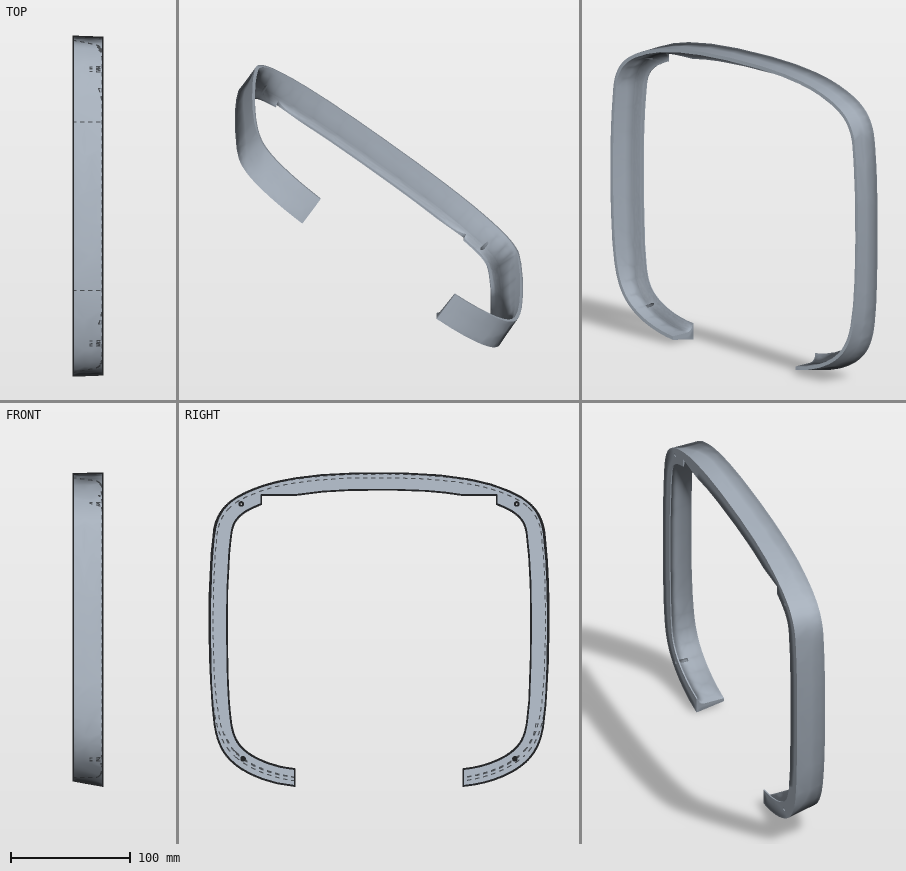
import cadquery as cq
import math

depth = 25.0
rim_thickness = 3.0
wall_at_flange = 7.0
flange_reach = 14.0
flange_thickness = 1.0
fillet_radius = 6.2
section_count = 61

foot_gap_half = 70.2
trim_half_width = 98.2
trim_height = 112.0
hole_diameter = 3.0
hole_depth = 11.0
upper_hole = (115.0, 104.7)
lower_hole = (113.5, -108.0)

half_outline = [
    (0.0, 129.8, 0.8),
    (35.0, 129.0, 0.8),
    (70.0, 125.6, 0.6),
    (92.0, 121.0, 0.4),
    (109.0, 115.0, 0.2),
    (121.5, 108.3, 0.0),
    (130.5, 100.0, -0.4),
    (136.0, 90.0, -0.8),
    (138.8, 75.0, -0.9),
    (141.0, 45.0, -0.9),
    (141.68, 12.0, -0.9),
    (141.0, -30.0, -0.6),
    (138.6, -62.0, 0.5),
    (134.4, -83.0, 2.2),
    (128.0, -97.0, 4.0),
    (118.0, -107.8, 5.0),
    (104.0, -116.5, 5.2),
    (87.0, -122.8, 5.0),
    (70.0, -126.3, 4.6),
    (64.0, -127.2, 4.5),
]


def outline_curve():
    """Smooth guide curve around the loop; its X coordinate carries the spread."""
    mirrored_half = [(-y, z, spread) for y, z, spread in half_outline[:0:-1]]
    points = [cq.Vector(spread, y, z) for y, z, spread in mirrored_half + half_outline]
    return cq.Edge.makeSpline(points)


def band_section(guide, fraction):
    """Closed cross-section of the band, square to the outline at a fraction of its length."""
    place = guide.positionAt(fraction)
    tangent = guide.tangentAt(fraction)
    spread = place.x
    inward = cq.Vector(0, tangent.z, -tangent.y).normalized()
    rim_corner = cq.Vector(0, place.y, place.z)

    def at(x, inset):
        """Point at a depth x, moved inward from the front rim's outer edge."""
        return rim_corner + inward * inset + cq.Vector(x, 0, 0)

    flange_face = depth - flange_thickness
    spread_at_face = spread * flange_face / depth

    corner_inset = wall_at_flange - spread_at_face
    wall_angle = math.atan2(corner_inset - rim_thickness, flange_face)
    tangent_length = fillet_radius / math.tan(math.pi / 4 + wall_angle / 2)
    arc_centre_x = flange_face - fillet_radius
    arc_centre_inset = corner_inset + tangent_length
    middle_angle = math.pi / 4 - wall_angle / 2
    arc_start = at(flange_face, arc_centre_inset)
    arc_middle = at(
        arc_centre_x + fillet_radius * math.cos(middle_angle),
        arc_centre_inset - fillet_radius * math.sin(middle_angle),
    )
    arc_end = at(
        flange_face - tangent_length * math.cos(wall_angle),
        corner_inset - tangent_length * math.sin(wall_angle),
    )

    rim_outer = at(0, 0)
    back_outer = at(depth, -spread)
    back_inner = at(depth, flange_reach - spread)
    land_inner = at(flange_face, flange_reach - spread_at_face)
    rim_inner = at(0, rim_thickness)
    return cq.Wire.assembleEdges([
        cq.Edge.makeLine(rim_outer, back_outer),
        cq.Edge.makeLine(back_outer, back_inner),
        cq.Edge.makeLine(back_inner, land_inner),
        cq.Edge.makeLine(land_inner, arc_start),
        cq.Edge.makeThreePointArc(arc_start, arc_middle, arc_end),
        cq.Edge.makeLine(arc_end, rim_inner),
        cq.Edge.makeLine(rim_inner, rim_outer),
    ])


def band():
    guide = outline_curve()
    last = section_count - 1
    sections = [band_section(guide, i / last) for i in range(section_count)]
    return cq.Workplane(cq.Solid.makeLoft(sections))


def block_below(half_width, top, height):
    """Cutting block across the whole depth, centred on Y, with its upper face at a level."""
    return cq.Workplane("XY").box(
        depth, 2 * half_width, height, centered=(False, True, False)
    ).translate((0, 0, top - height))


def holes():
    """Blind holes from the back face, mirrored about the middle."""
    places = [(side * y, z) for y, z in (upper_hole, lower_hole) for side in (-1, 1)]
    return (
        cq.Workplane("YZ", origin=(depth - hole_depth, 0, 0))
        .pushPoints(places)
        .circle(hole_diameter / 2)
        .extrude(hole_depth)
    )


foot_gap = block_below(foot_gap_half, 0, 2 * trim_height)
flange_trim = block_below(trim_half_width, trim_height, trim_height)
result = band().cut(foot_gap).cut(flange_trim).cut(holes())